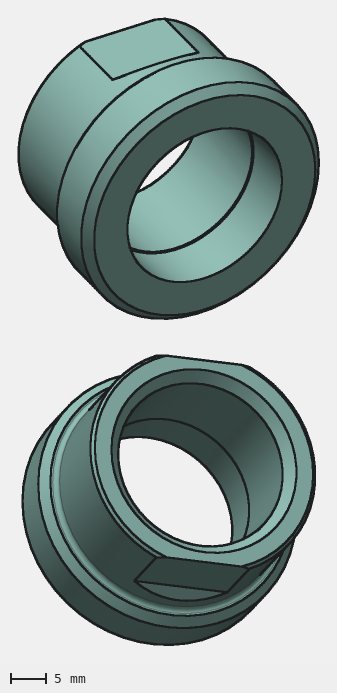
import cadquery as cq

length = 24.0
flange_radius = 37.85 / 2
neck_radius = 33.0 / 2
bore_radius = 24.1 / 2
rear_bore_radius = 24.6 / 2
rear_bore_start = 15.95
shoulder_x = 14.5
shoulder_fillet = 0.75
neck_chamfer = 0.5
flange_chamfer = 1.32
mouth_chamfer = 1.5
flat_length = 10.0
flat_height = 15.03


def cylinder(radius, start, end):
    """Solid cylinder along X between two positions."""
    return cq.Workplane("YZ").workplane(offset=start).circle(radius).extrude(end - start)


def make_body():
    """Neck and flange with chamfered rims and a filleted shoulder."""
    neck = cylinder(neck_radius, 0, length).faces("<X").chamfer(neck_chamfer)
    flange = cylinder(flange_radius, shoulder_x, length).faces("<X or >X").chamfer(flange_chamfer)
    shoulder_corner = cq.selectors.BoxSelector(
        (shoulder_x - 0.38, -neck_radius - 0.38, -neck_radius - 0.38),
        (shoulder_x + 0.38, neck_radius + 0.38, neck_radius + 0.38),
        boundingbox=True,
    )
    return neck.union(flange).edges("%CIRCLE").edges(shoulder_corner).fillet(shoulder_fillet)


def make_bore():
    """Through bore with a conical mouth and a slightly wider rear section."""
    return (
        cq.Workplane("XY")
        .lineTo(0, bore_radius + mouth_chamfer)
        .lineTo(mouth_chamfer, bore_radius)
        .lineTo(rear_bore_start, bore_radius)
        .lineTo(rear_bore_start, rear_bore_radius)
        .lineTo(length, rear_bore_radius)
        .lineTo(length, 0)
        .close()
        .revolve(360, (0, 0, 0), (1, 0, 0))
    )


def make_flat_cutter():
    """Material above the upper wrench flat, ending in a 45 degree run-out."""
    cut_height = neck_radius - flat_height
    return (
        cq.Workplane("XZ")
        .moveTo(0, flat_height)
        .lineTo(flat_length, flat_height)
        .lineTo(flat_length + cut_height, neck_radius)
        .lineTo(0, neck_radius)
        .close()
        .extrude(neck_radius, both=True)
    )


upper_flat = make_flat_cutter()
lower_flat = upper_flat.mirror("XY")

result = make_body().cut(make_bore()).cut(upper_flat).cut(lower_flat)